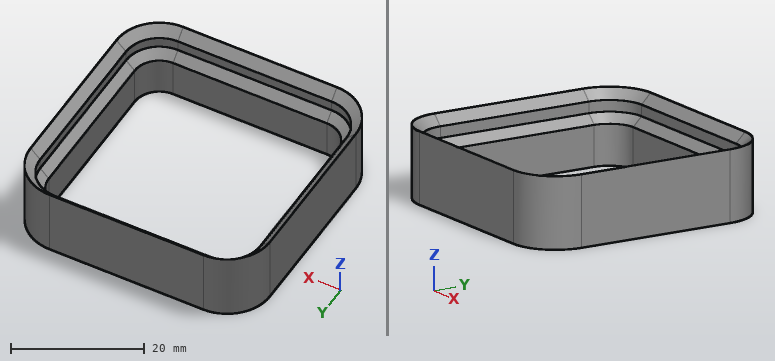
import cadquery as cq

side = 41.0
height = 11.45
corner_radius = 7.35

ledge_inset = 1.65
bore_inset = 3.1
rim_depth = 1.65
ledge_depth = 3.45
bore_depth = 4.9


def rounded_square(inset, depth):
    """Rounded square concentric with the outer wall, at a depth below the rim."""
    width = side - 2 * inset
    return (
        cq.Sketch()
        .rect(width, width)
        .vertices()
        .fillet(corner_radius - inset)
        .moved(cq.Location(cq.Vector(0, 0, height - depth)))
    )


def straight_section(inset, top_depth, bottom_depth):
    """Solid with upright walls between two depths."""
    return cq.Workplane().placeSketch(rounded_square(inset, bottom_depth)).extrude(bottom_depth - top_depth)


def tapered_section(top_inset, top_depth, bottom_inset, bottom_depth):
    """Solid with sloping walls between two depths."""
    bottom = rounded_square(bottom_inset, bottom_depth)
    top = rounded_square(top_inset, top_depth)
    return cq.Workplane().placeSketch(bottom, top).loft()


block = straight_section(0, 0, height)
rim_taper = tapered_section(0, 0, ledge_inset, rim_depth)
upper_wall = straight_section(ledge_inset, rim_depth, ledge_depth)
ledge_taper = tapered_section(ledge_inset, ledge_depth, bore_inset, bore_depth)
bore = straight_section(bore_inset, bore_depth, height)

result = block.cut(rim_taper).cut(upper_wall).cut(ledge_taper).cut(bore)